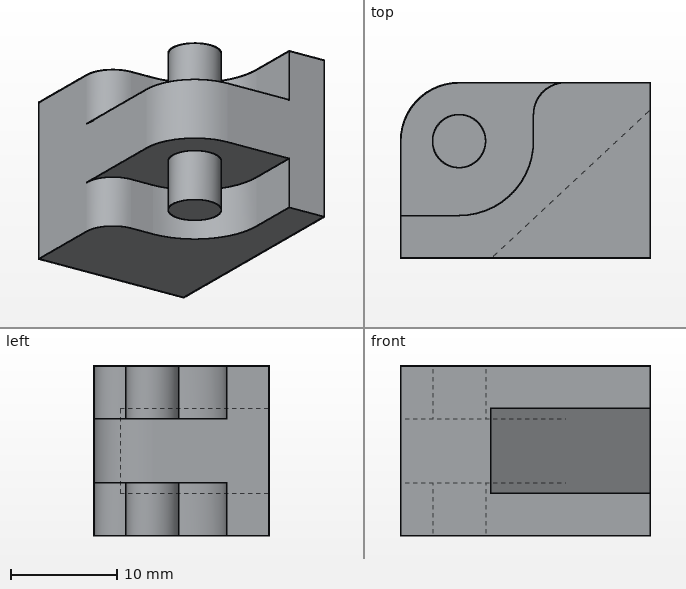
import cadquery as cq

LENGTH = 23.5
WIDTH = 16.5
HEIGHT = 16.0

PIN_DIAMETER = 5.0
KNUCKLE_RADIUS = 5.5
KNUCKLE_HEIGHT = 6.0
PIN_X = KNUCKLE_RADIUS
PIN_Y = WIDTH - KNUCKLE_RADIUS

SWING_RADIUS = 7.0
RECESS_CORNER_RADIUS = 3.0
RECESS_DEPTH = (HEIGHT - KNUCKLE_HEIGHT) / 2

SLOT_HEIGHT = 8.0
SLOT_START_X = 8.5
SLOT_END_Y = 14.0
SLOT_BOTTOM = (HEIGHT - SLOT_HEIGHT) / 2


def make_block():
    """Rectangular block with the knuckle rounding on its rear -X corner."""
    block = cq.Workplane("XY").box(LENGTH, WIDTH, HEIGHT, centered=False)
    return block.edges("|Z and <X and >Y").fillet(KNUCKLE_RADIUS)


def make_recess(bottom):
    """Clearance around the pin: swing arc, then an arc flaring out to the rear face."""
    wall_x = PIN_X + SWING_RADIUS
    wall_y = PIN_Y - SWING_RADIUS
    flare_start = (wall_x, WIDTH - RECESS_CORNER_RADIUS)
    flare_end = (wall_x + RECESS_CORNER_RADIUS, WIDTH)
    pocket = (
        cq.Workplane("XY", origin=(0, 0, bottom))
        .moveTo(0, wall_y)
        .lineTo(PIN_X, wall_y)
        .radiusArc((wall_x, PIN_Y), -SWING_RADIUS)
        .lineTo(*flare_start)
        .radiusArc(flare_end, RECESS_CORNER_RADIUS)
        .lineTo(0, WIDTH)
        .close()
        .extrude(RECESS_DEPTH)
    )
    pin = (
        cq.Workplane("XY", origin=(PIN_X, PIN_Y, bottom))
        .circle(PIN_DIAMETER / 2)
        .extrude(RECESS_DEPTH)
    )
    return pocket.cut(pin)


def make_slot():
    """Triangular slot whose back wall slants from the front face to the +X end."""
    return (
        cq.Workplane("XY", origin=(0, 0, SLOT_BOTTOM))
        .moveTo(SLOT_START_X, 0)
        .lineTo(LENGTH, 0)
        .lineTo(LENGTH, SLOT_END_Y)
        .close()
        .extrude(SLOT_HEIGHT)
    )


result = make_block()
for recess_bottom in (0, HEIGHT - RECESS_DEPTH):
    result = result.cut(make_recess(recess_bottom))
result = result.cut(make_slot())